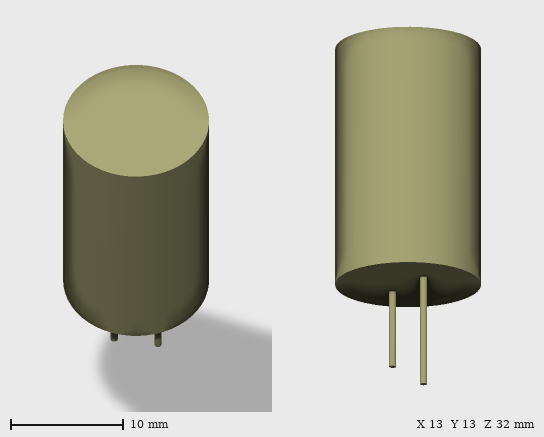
import cadquery as cq

total_height = 32.0
can_diameter = 13.0
lead_diameter = 0.65
lead_spacing = 5.0
long_lead_length = 10.0
short_lead_length = 7.0

can_height = total_height - long_lead_length


def make_can():
    """Plain upright cylinder with its base on Z = 0."""
    return cq.Workplane("XY").circle(can_diameter / 2).extrude(can_height)


def make_lead(x, length):
    """Straight round wire hanging down from the base of the can."""
    return cq.Workplane("XY").center(x, 0).circle(lead_diameter / 2).extrude(-length)


can = make_can()

leads = [
    make_lead(x, length)
    for x, length in [
        (-lead_spacing / 2, long_lead_length),
        (lead_spacing / 2, short_lead_length),
    ]
]

result = cq.Compound.makeCompound([can.val(), *[lead.val() for lead in leads]])